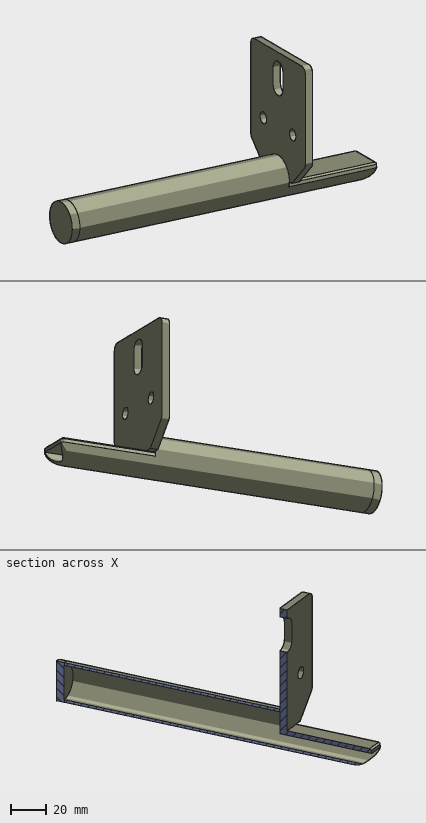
import cadquery as cq
import math


tube_diameter = 25.0
bore_diameter = 21.0
overall_length = 204.7
tube_radius = tube_diameter / 2

plate_width = 60.0
plate_height = 75.1
plate_thickness = 5.0
plate_foot_width = 30.5
plate_corner_radius = 4.0
slot_length = 20.9
slot_width = 10.6
slot_height = 59.1
screw_hole_diameter = 7.0
screw_hole_spacing = 32.1
screw_hole_height = 29.9

tongue_length = 59.5
tongue_width = 24.2
tongue_thickness = 3.0
tongue_side_lean = 0.5
tongue_corner_radius = 2.0
tongue_chamfer = 1.0

cap_thickness = 5.1
front_end = tongue_length - overall_length
tube_front = front_end + cap_thickness

end_edge_fillet = 1.8


def cylinder_along_y(diameter, start, end):
    """Cylinder on the tube axis between two Y positions."""
    return cq.Workplane("XZ", origin=(0, start, 0)).circle(diameter / 2).extrude(start - end)


def make_trough():
    """Solid rear part of the tube, cut level under the tongue and rounded at its end.

    The end arc has the tube radius and is centred on the level of the tube axis.
    """
    arc_center = tongue_length - math.sqrt(tube_radius**2 - tongue_thickness**2)
    arc_reach = tube_radius * math.sqrt(0.5)
    profile = (
        cq.Workplane("YZ")
        .moveTo(0, -tongue_thickness)
        .lineTo(tongue_length, -tongue_thickness)
        .threePointArc((arc_center + arc_reach, -arc_reach), (arc_center, -tube_radius))
        .lineTo(0, -tube_radius)
        .close()
        .extrude(tube_radius, both=True)
    )
    trough = cylinder_along_y(tube_diameter, 0, tongue_length).intersect(profile)
    end_edges = trough.faces(">Y").edges("not |X")
    return end_edges.fillet(end_edge_fillet)


def make_tube():
    """Full round tube at the front, continued by an open trough at the rear."""
    front = cylinder_along_y(tube_diameter, tube_front, 0)
    bore = cylinder_along_y(bore_diameter, tube_front, tongue_length)
    return front.union(make_trough()).cut(bore)


def make_cap():
    """Disc that closes the front end of the tube."""
    return cylinder_along_y(tube_diameter, front_end, tube_front)


def make_plate():
    """Upright plate with a 45 degree taper to its foot, a slot and two screw holes."""
    half_width = plate_width / 2
    half_foot = plate_foot_width / 2
    shoulder_height = half_width - half_foot
    plate = (
        cq.Workplane("XZ")
        .polyline([
            (-half_foot, 0),
            (half_foot, 0),
            (half_width, shoulder_height),
            (half_width, plate_height),
            (-half_width, plate_height),
            (-half_width, shoulder_height),
        ])
        .close()
        .extrude(-plate_thickness)
        .edges("|Y and (<X or >X)")
        .fillet(plate_corner_radius)
    )
    slot = (
        cq.Workplane("XZ")
        .center(0, slot_height)
        .slot2D(slot_length, slot_width, 90)
        .extrude(-plate_thickness)
    )
    screw_holes = (
        cq.Workplane("XZ")
        .pushPoints([(side * screw_hole_spacing / 2, screw_hole_height) for side in (-1, 1)])
        .circle(screw_hole_diameter / 2)
        .extrude(-plate_thickness)
    )
    return plate.cut(slot).cut(screw_holes)


def make_tongue():
    """Flat tongue with leaning sides, rounded rear corners and a chamfered top rim."""
    half_bottom = tongue_width / 2
    half_top = half_bottom - tongue_side_lean
    return (
        cq.Workplane("XZ")
        .polyline([
            (-half_bottom, -tongue_thickness),
            (half_bottom, -tongue_thickness),
            (half_top, 0),
            (-half_top, 0),
        ])
        .close()
        .extrude(-tongue_length)
        .faces(">Y")
        .edges("not |X")
        .fillet(tongue_corner_radius)
        .faces(">Z")
        .edges("not <Y")
        .chamfer(tongue_chamfer)
    )


def make_bracket():
    """Angle bracket: the plate stands on the front end of the tongue."""
    return make_plate().union(make_tongue())


tube = make_tube()
cap = make_cap()
bracket = make_bracket()

result = cq.Compound.makeCompound([tube.val(), cap.val(), bracket.val()])